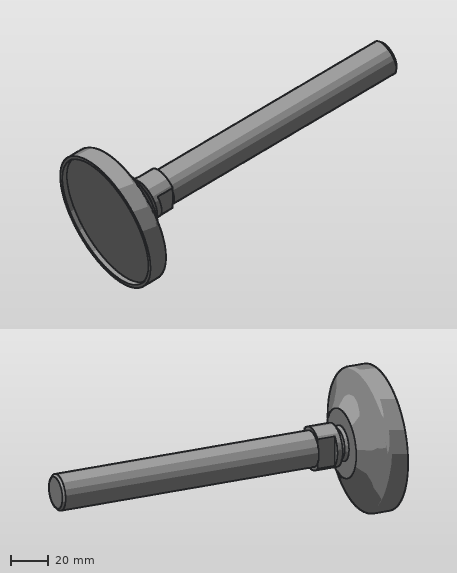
import cadquery as cq

total_length = 189.0

pad_diameter = 80.0
recess_diameter = 76.0
recess_depth = 3.0
rim_height = 9.3
shoulder_height = 11.5
shoulder_radius = 38.2
pad_height = 21.0
pad_top_radius = 19.0
concave_mid_radius = 28.0
concave_mid_height = 15.5
shoulder_bulge = 0.4

neck_diameter = 17.0
flare_height = 1.9
flare_width = 1.3
collar_diameter = 24.0
collar_start = 25.7
collar_end = 38.7
flats_start = 28.7
flats_width = neck_diameter
shaft_diameter = 20.0
shaft_chamfer = 1.3


def cylinder(diameter, start, end):
    """Cylinder about the Y axis between two heights above the pad face."""
    plane = cq.Workplane("XZ", origin=(0, start, 0))
    return plane.circle(diameter / 2).extrude(start - end)


def make_pad():
    """Revolved pad with a rounded shoulder, a concave top and a recessed underside."""
    pad_radius = pad_diameter / 2
    shoulder_mid = (
        (pad_radius + shoulder_radius) / 2 + shoulder_bulge,
        (rim_height + shoulder_height) / 2 + shoulder_bulge,
    )
    profile = (
        cq.Workplane("XY")
        .lineTo(pad_radius, 0)
        .lineTo(pad_radius, rim_height)
        .threePointArc(shoulder_mid, (shoulder_radius, shoulder_height))
        .threePointArc((concave_mid_radius, concave_mid_height), (pad_top_radius, pad_height))
        .lineTo(0, pad_height)
        .close()
    )
    pad = profile.revolve(360, (0, 0, 0), (0, 1, 0))
    return pad.cut(cylinder(recess_diameter, 0, recess_depth))


def make_neck():
    """Neck that flares out conically where it meets the pad."""
    neck_radius = neck_diameter / 2
    profile = (
        cq.Workplane("XY")
        .moveTo(0, pad_height)
        .lineTo(neck_radius + flare_width, pad_height)
        .lineTo(neck_radius, pad_height + flare_height)
        .lineTo(neck_radius, collar_start)
        .lineTo(0, collar_start)
        .close()
    )
    return profile.revolve(360, (0, 0, 0), (0, 1, 0))


def make_collar():
    """Round collar with two wrench flats facing -X and +X."""
    flange = cylinder(collar_diameter, collar_start, flats_start)
    flats_length = collar_end - flats_start
    flats_block = cq.Workplane("XY").box(flats_width, flats_length, collar_diameter)
    flats_block = flats_block.translate((0, flats_start + flats_length / 2, 0))
    wrench_section = cylinder(collar_diameter, flats_start, collar_end).intersect(flats_block)
    return flange.union(wrench_section)


def make_shaft():
    """Plain shaft with a chamfered free end."""
    shaft = cylinder(shaft_diameter, collar_end, total_length)
    return shaft.faces(">Y").chamfer(shaft_chamfer)


result = make_pad().union(make_neck()).union(make_collar()).union(make_shaft())